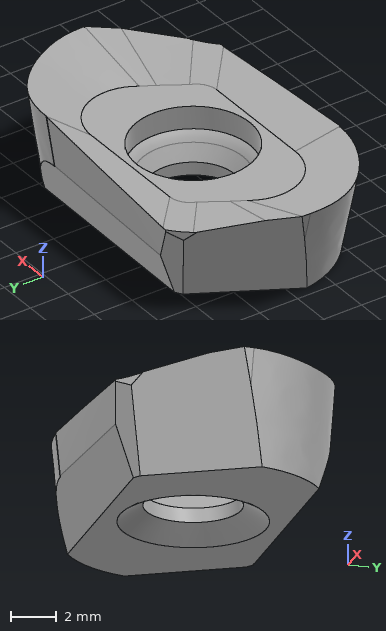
import cadquery as cq
import math

HEIGHT = 4.94
BLANK_TOP = 6.29
REACH = 10.78

NOSE_RADIUS = 5.03
NOSE_CENTER_X = -3.95
NOSE_LEAN = 0.28
NOSE_START = 175.0
NOSE_END = 270.0
NOSE_DIP = 0.2
NOSE_SAMPLES = 12

FACET_BASE_Y = -4.08
FACET_SKEW = -0.012
FACET_SLOPE = -0.37
BREAK_HEIGHT = 2.57
BREAK_SLOPE = -0.049
RELIEF_SLOPE = -0.04
RELIEF_TWIST = -0.01448

FLANK_CORNER = (5.26, -5.25, 4.13)
CORNER_MIDDLE = (5.84, -4.89, 4.13)
END_CORNER = (6.38, -4.4, 4.18)
END_KINK = (8.03, -1.8, 4.76)

END_BASE = (7.53, 0.8, 0)
END_NORMAL = (26.3, -14.8, -11.5)
CHAMFER_BASE = (4.87, -3.92, 0)
CHAMFER_NORMAL = (1.2, -1.8, -0.76)

FLOOR_Z = 3.8
FLOOR_RADIUS = 2.51
FLOOR_CENTER = (-3.05, -0.77)
FLOOR_START = 145.0
FLOOR_CORNER = (2.96, FLOOR_CENTER[1] - FLOOR_RADIUS, FLOOR_Z)
FLOOR_CORNER_MIDDLE = (3.6, -3.07, FLOOR_Z)
FLOOR_END_CORNER = (3.97, -2.55, FLOOR_Z)
FLOOR_KINK = (4.75, -1.33, FLOOR_Z)
OVERSHOOT = 1.25

HEAD_RADIUS = 2.98
SEAT_TOP = 2.64
SEAT_MIDDLE = (2.62, 2.17)
HOLE_RADIUS = 2.2
SEAT_BOTTOM = 1.42
FLARE_TOP = 0.75
FLARE_RADIUS = 3.32


def half_turn(shape):
    return shape.rotate((0, 0, 0), (0, 0, 1), 180)


def turned(point):
    return (-point[0], -point[1], point[2])


def nose_prism():
    """Oblique prism, rounded by the nose on -X and open on the other sides."""
    def section(z):
        center = NOSE_CENTER_X + NOSE_LEAN * (HEIGHT - z)
        diagonal = NOSE_RADIUS * math.sqrt(0.5)
        return (
            cq.Workplane("XY", origin=(0, 0, z))
            .moveTo(center - NOSE_RADIUS, 0)
            .threePointArc((center - diagonal, -diagonal), (center, -NOSE_RADIUS))
            .lineTo(center, -REACH)
            .lineTo(2 * REACH, -REACH)
            .lineTo(2 * REACH, REACH)
            .lineTo(center - NOSE_RADIUS, REACH)
            .close().wires().val()
        )
    return cq.Solid.makeLoft([section(0), section(BLANK_TOP)], True)


def flank_prism():
    """Prism bounded on -Y by the facet and the relief above it."""
    def section(x):
        base_y = FACET_BASE_Y + FACET_SKEW * x
        break_z = BREAK_HEIGHT + BREAK_SLOPE * x
        break_y = base_y + FACET_SLOPE * break_z
        top_y = break_y + (RELIEF_SLOPE + RELIEF_TWIST * x) * (BLANK_TOP - break_z)
        corners = [(base_y, 0), (break_y, break_z), (top_y, BLANK_TOP), (REACH, BLANK_TOP), (REACH, 0)]
        return cq.Wire.makePolygon([cq.Vector(x, y, z) for y, z in corners], close=True)
    return cq.Solid.makeLoft([section(-REACH), section(REACH)], True)


def waste_beyond(point, normal):
    """Block on the outer side of a plane."""
    plane = cq.Plane(origin=point, normal=normal)
    return cq.Workplane(plane).rect(4 * REACH, 4 * REACH).extrude(REACH).val()


def nose_edge_points():
    """Matching floor and cutting edge points along the nose."""
    pairs = []
    for i in range(NOSE_SAMPLES + 1):
        t = i / NOSE_SAMPLES
        rim_angle = math.radians(NOSE_START + t * (NOSE_END - NOSE_START))
        floor_angle = math.radians(FLOOR_START + t * (NOSE_END - FLOOR_START))
        sag = NOSE_DIP * (1 - math.cos(2 * math.pi * t)) / 2
        rim = (
            NOSE_CENTER_X + NOSE_RADIUS * math.cos(rim_angle) + NOSE_LEAN * sag,
            NOSE_RADIUS * math.sin(rim_angle),
            HEIGHT - sag,
        )
        floor = (
            FLOOR_CENTER[0] + FLOOR_RADIUS * math.cos(floor_angle),
            FLOOR_CENTER[1] + FLOOR_RADIUS * math.sin(floor_angle),
            FLOOR_Z,
        )
        pairs.append((floor, rim))
    return pairs


def edge_through(points):
    """Line through two points, arc through three, spline through more."""
    vectors = [cq.Vector(*p) for p in points]
    if len(vectors) == 2:
        return cq.Edge.makeLine(*vectors)
    if len(vectors) == 3:
        return cq.Edge.makeThreePointArc(*vectors)
    return cq.Edge.makeSpline(vectors)


def chip_former():
    """Material above the floor and the ruled bands rising to the cutting edge."""
    nose = nose_edge_points()
    corner = (FLOOR_CORNER, FLANK_CORNER)
    corner_middle = (FLOOR_CORNER_MIDDLE, CORNER_MIDDLE)
    end_corner = (FLOOR_END_CORNER, END_CORNER)
    kink = (FLOOR_KINK, END_KINK)
    next_nose = tuple(turned(p) for p in nose[0])
    half = [
        nose,
        [nose[-1], corner],
        [corner, corner_middle, end_corner],
        [end_corner, kink],
        [kink, next_nose],
    ]
    other_half = [[(turned(a), turned(b)) for a, b in band] for band in half]

    floor_edges, lid_edges, faces = [], [], []
    for band in half + other_half:
        outer = [
            tuple(f + OVERSHOOT * (r - f) for f, r in zip(floor, rim))
            for floor, rim in band
        ]
        floor_edge = edge_through([floor for floor, _ in band])
        outer_edge = edge_through(outer)
        lid_edge = edge_through([(x, y, BLANK_TOP + 0.18) for x, y, _ in outer])
        faces.append(cq.Face.makeRuledSurface(floor_edge, outer_edge))
        faces.append(cq.Face.makeRuledSurface(outer_edge, lid_edge))
        floor_edges.append(floor_edge)
        lid_edges.append(lid_edge)
    for edges in (floor_edges, lid_edges):
        faces.append(cq.Face.makeFromWires(cq.Wire.assembleEdges(edges)))
    return cq.Solid.makeSolid(cq.Shell.makeShell(faces)).fix()


def screw_hole():
    return (
        cq.Workplane("XZ")
        .lineTo(FLARE_RADIUS, 0)
        .lineTo(HOLE_RADIUS, FLARE_TOP)
        .lineTo(HOLE_RADIUS, SEAT_BOTTOM)
        .lineTo(*SEAT_MIDDLE)
        .tangentArcPoint((HEAD_RADIUS, SEAT_TOP), relative=False)
        .lineTo(HEAD_RADIUS, HEIGHT)
        .lineTo(0, HEIGHT)
        .close()
        .revolve(360, (0, 0, 0), (0, 1, 0))
        .val()
    )


edge_normal = (END_CORNER[1] - CORNER_MIDDLE[1], CORNER_MIDDLE[0] - END_CORNER[0], 0)
edge_chamfer = waste_beyond(END_CORNER, edge_normal)

body = nose_prism()
for prism in (half_turn(nose_prism()), flank_prism(), half_turn(flank_prism())):
    body = body.intersect(prism)
for waste in (
    waste_beyond(END_BASE, END_NORMAL),
    waste_beyond(CHAMFER_BASE, CHAMFER_NORMAL),
    edge_chamfer,
):
    body = body.cut(waste, half_turn(waste))
body = body.cut(chip_former()).cut(screw_hole())

result = cq.Workplane("XY").newObject(body.Solids())